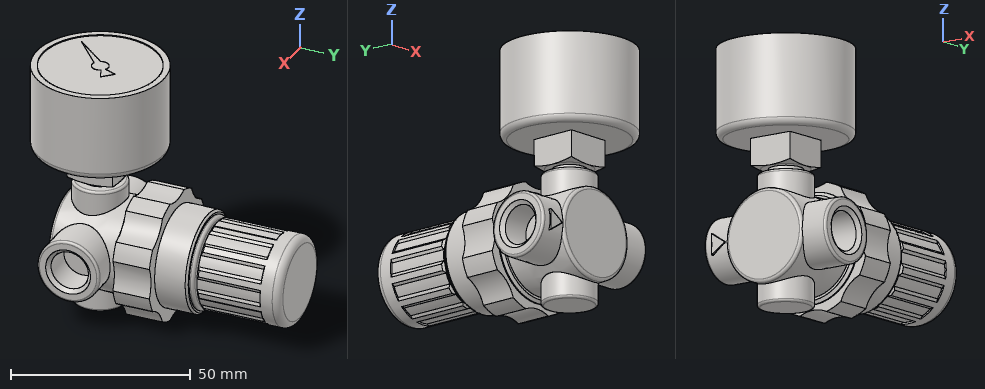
import cadquery as cq
import math


FRONT_Y = -9.8
BODY_BACK_Y = 11.35
NUT_FRONT_Y = 12.3
NUT_BACK_Y = 23.5
BONNET_BACK_Y = 33.5
COLLAR_BACK_Y = 34.85
KNOB_FRONT_Y = 35.4
KNOB_RIM_Y = 55.0
KNOB_END_Y = 61.0

FRONT_DIAMETER = 27.0
BODY_BACK_DIAMETER = 28.5
FRONT_FILLET = 1.0
FLANGE_DIAMETER = 32.0
BONNET_DIAMETER = 30.0
FLANGE_CHAMFER_LENGTH = 0.65
BONNET_CHAMFER = 0.65
COLLAR_DIAMETER = 27.5
COLLAR_FILLET = 1.0
NECK_DIAMETER = 21.0
KNOB_DIAMETER = 27.0
KNOB_FILLET = 2.25
KNOB_CHAMFER = 0.65

RECESS_COUNT = 12
RECESS_FLOOR_DIAMETER = 25.9
RECESS_FLOOR_WIDTH = 3.2
RECESS_MOUTH_WIDTH = 5.15
RECESS_OVERRUN = 0.8

NUT_DIAMETER = 38.15
NUT_ROOT_DIAMETER = 34.9
NUT_LOBE_COUNT = 8
NUT_SCALLOP_WIDTH = 9.3

PORT_DIAMETER = 19.0
PORT_SPAN = 43.0
PORT_FILLET = 0.7
PORT_BORE_DIAMETER = 11.4
PORT_BORE_DEPTH = 9.7
PORT_MOUTH_DIAMETER = 13.7

BOSS_DIAMETER = 16.0
BOSS_HALF_SPAN = 19.0
BOSS_FILLET = 0.7

ARROW_TAIL_X = -18.6
ARROW_TIP_X = -13.85
ARROW_WIDTH = 6.1
ARROW_DEPTH = 1.6

TOTAL_HEIGHT = 74.0
GAUGE_TOP_Z = TOTAL_HEIGHT - BOSS_HALF_SPAN
GAUGE_DIAMETER = 39.0
GAUGE_HEIGHT = 25.9
GAUGE_BOTTOM_Z = GAUGE_TOP_Z - GAUGE_HEIGHT
GAUGE_FILLET = 1.9
DIAL_DIAMETER = 35.0
DIAL_DEPTH = 0.3
STEM_DIAMETER = 9.75
SQUARE_WIDTH = 14.0
SQUARE_BOTTOM_Z = 20.5
SQUARE_CORNER_CUT = 0.8

POINTER_HEIGHT = 0.1
HUB_DIAMETER = 5.0
POINTER_REACH = 15.05
POINTER_ROOT_WIDTH = 1.9
TAIL_REACH = 6.0
TAIL_ROOT_WIDTH = 1.4
TAIL_END_WIDTH = 4.35
POINTER_ANGLE = 225.0


def cylinder_along_y(diameter, front_y, back_y):
    start = cq.Workplane("XZ", origin=(0, front_y, 0))
    return start.circle(diameter / 2).extrude(front_y - back_y)


def make_front_body():
    """Tapered body with a rounded front edge and a chamfered flange against the nut."""
    flange_edge_y = BODY_BACK_Y + FLANGE_CHAMFER_LENGTH
    body = (
        cq.Workplane("XY")
        .moveTo(0, FRONT_Y)
        .lineTo(FRONT_DIAMETER / 2, FRONT_Y)
        .lineTo(BODY_BACK_DIAMETER / 2, BODY_BACK_Y)
        .lineTo(BONNET_DIAMETER / 2, BODY_BACK_Y)
        .lineTo(FLANGE_DIAMETER / 2, flange_edge_y)
        .lineTo(FLANGE_DIAMETER / 2, NUT_FRONT_Y)
        .lineTo(0, NUT_FRONT_Y)
        .close()
        .revolve(360, (0, 0, 0), (0, 1, 0))
    )
    return body.faces("<Y").edges().fillet(FRONT_FILLET)


def make_nut():
    """Prism of convex lobes on one circle, joined by shallow concave scallops."""
    radius = NUT_DIAMETER / 2
    pitch = 2 * math.pi / NUT_LOBE_COUNT
    half_scallop = math.asin(NUT_SCALLOP_WIDTH / NUT_DIAMETER)

    def point_at(distance, angle):
        return (distance * math.cos(angle), distance * math.sin(angle))

    outline = cq.Workplane("XZ", origin=(0, NUT_FRONT_Y, 0)).moveTo(*point_at(radius, -half_scallop))
    for index in range(NUT_LOBE_COUNT):
        scallop_angle = index * pitch
        lobe_angle = scallop_angle + pitch / 2
        outline = outline.threePointArc(
            point_at(NUT_ROOT_DIAMETER / 2, scallop_angle),
            point_at(radius, scallop_angle + half_scallop),
        ).threePointArc(
            point_at(radius, lobe_angle),
            point_at(radius, scallop_angle + pitch - half_scallop),
        )
    return outline.close().extrude(NUT_FRONT_Y - NUT_BACK_Y)


def make_bonnet():
    """Bonnet, the collar behind it and the neck that carries the knob."""
    bonnet = cylinder_along_y(BONNET_DIAMETER, NUT_BACK_Y, BONNET_BACK_Y)
    bonnet = bonnet.faces(">Y").chamfer(BONNET_CHAMFER)
    collar = cylinder_along_y(COLLAR_DIAMETER, BONNET_BACK_Y, COLLAR_BACK_Y)
    collar = collar.faces(">Y").edges().fillet(COLLAR_FILLET)
    neck = cylinder_along_y(NECK_DIAMETER, COLLAR_BACK_Y, KNOB_FRONT_Y)
    return bonnet.union(collar).union(neck)


def make_recess_cutter():
    """Grip recess at +X: sloping side walls and a round floor, open at the front of the knob."""
    floor_radius = RECESS_FLOOR_DIAMETER / 2
    knob_radius = KNOB_DIAMETER / 2
    floor_half = RECESS_FLOOR_WIDTH / 2
    mouth_half = RECESS_MOUTH_WIDTH / 2
    floor_edge_x = math.sqrt(floor_radius**2 - floor_half**2)
    mouth_edge_x = math.sqrt(knob_radius**2 - mouth_half**2)
    wall_slope = (mouth_half - floor_half) / (mouth_edge_x - floor_edge_x)
    outer_x = knob_radius + RECESS_OVERRUN
    outer_half = floor_half + wall_slope * (outer_x - floor_edge_x)
    front_y = KNOB_FRONT_Y - RECESS_OVERRUN
    return (
        cq.Workplane("XZ", origin=(0, front_y, 0))
        .moveTo(floor_edge_x, -floor_half)
        .threePointArc((floor_radius, 0), (floor_edge_x, floor_half))
        .lineTo(outer_x, outer_half)
        .lineTo(outer_x, -outer_half)
        .close()
        .extrude(front_y - KNOB_RIM_Y)
    )


def make_knob():
    knob = cylinder_along_y(KNOB_DIAMETER, KNOB_FRONT_Y, KNOB_END_Y)
    knob = knob.faces(">Y").edges().fillet(KNOB_FILLET)
    knob = knob.faces("<Y").chamfer(KNOB_CHAMFER)
    cutter = make_recess_cutter()
    for index in range(RECESS_COUNT):
        turn = index * 360 / RECESS_COUNT
        knob = knob.cut(cutter.rotate((0, 0, 0), (0, 1, 0), turn))
    return knob


def make_port_barrel():
    barrel = cq.Workplane("YZ").circle(PORT_DIAMETER / 2).extrude(PORT_SPAN / 2, both=True)
    return barrel.faces("<X or >X").edges().fillet(PORT_FILLET)


def make_port_bore(side):
    """Blind bore with a 45 degree mouth; side is -1 for the -X port and +1 for the +X port."""
    bore_radius = PORT_BORE_DIAMETER / 2
    mouth_radius = PORT_MOUTH_DIAMETER / 2
    mouth_x = side * PORT_SPAN / 2
    throat_x = mouth_x - side * (mouth_radius - bore_radius)
    floor_x = mouth_x - side * PORT_BORE_DEPTH
    return (
        cq.Workplane("XY")
        .moveTo(mouth_x, 0)
        .lineTo(mouth_x, mouth_radius)
        .lineTo(throat_x, bore_radius)
        .lineTo(floor_x, bore_radius)
        .lineTo(floor_x, 0)
        .close()
        .revolve(360, (0, 0, 0), (1, 0, 0))
    )


def make_bosses():
    """One round bar along Z that forms both the upper and the lower boss."""
    bosses = cq.Workplane("XY").circle(BOSS_DIAMETER / 2).extrude(BOSS_HALF_SPAN, both=True)
    return bosses.faces("<Z or >Z").edges().fillet(BOSS_FILLET)


def make_flow_arrow():
    """Triangular pad sunk into the inlet port, its outer face flush with the front face of the body."""
    half_width = ARROW_WIDTH / 2
    return (
        cq.Workplane("XZ", origin=(0, FRONT_Y, 0))
        .polyline([(ARROW_TAIL_X, half_width), (ARROW_TIP_X, 0), (ARROW_TAIL_X, -half_width)])
        .close()
        .extrude(-ARROW_DEPTH)
    )


def make_regulator():
    regulator = (
        make_front_body()
        .union(make_nut())
        .union(make_bonnet())
        .union(make_knob())
        .union(make_port_barrel())
        .union(make_bosses())
        .union(make_flow_arrow())
    )
    for side in (-1, 1):
        regulator = regulator.cut(make_port_bore(side))
    return regulator


def make_gauge_case():
    """Round case with a rounded lower edge and a shallow dial recess in its top."""
    base = cq.Workplane("XY", origin=(0, 0, GAUGE_BOTTOM_Z))
    case = base.circle(GAUGE_DIAMETER / 2).extrude(GAUGE_HEIGHT)
    case = case.faces("<Z").edges().fillet(GAUGE_FILLET)
    return case.faces(">Z").workplane().circle(DIAL_DIAMETER / 2).cutBlind(-DIAL_DEPTH)


def make_square():
    """Wrench square whose lower corners are cut by a shallow cone."""
    half_width = SQUARE_WIDTH / 2
    corner_radius = half_width * math.sqrt(2)
    cone_top_z = SQUARE_BOTTOM_Z + SQUARE_CORNER_CUT
    square = (
        cq.Workplane("XY", origin=(0, 0, SQUARE_BOTTOM_Z))
        .rect(SQUARE_WIDTH, SQUARE_WIDTH)
        .extrude(GAUGE_BOTTOM_Z - SQUARE_BOTTOM_Z)
    )
    envelope = (
        cq.Workplane("XZ")
        .moveTo(0, SQUARE_BOTTOM_Z)
        .lineTo(half_width, SQUARE_BOTTOM_Z)
        .lineTo(corner_radius, cone_top_z)
        .lineTo(corner_radius, GAUGE_BOTTOM_Z)
        .lineTo(0, GAUGE_BOTTOM_Z)
        .close()
        .revolve(360, (0, 0, 0), (0, 1, 0))
    )
    return square.intersect(envelope)


def make_stem():
    """Round stem that stands on the top face of the upper boss."""
    stem = cq.Workplane("XY", origin=(0, 0, BOSS_HALF_SPAN)).circle(STEM_DIAMETER / 2)
    return stem.extrude(SQUARE_BOTTOM_Z - BOSS_HALF_SPAN)


def make_pointer():
    """Thin raised pointer: hub, tapering needle and flared tail."""
    dial = cq.Workplane("XY", origin=(0, 0, GAUGE_TOP_Z - DIAL_DEPTH))
    hub = dial.circle(HUB_DIAMETER / 2).extrude(POINTER_HEIGHT)
    needle_root_x = math.sqrt(HUB_DIAMETER**2 - POINTER_ROOT_WIDTH**2) / 2
    tail_root_x = math.sqrt(HUB_DIAMETER**2 - TAIL_ROOT_WIDTH**2) / 2
    blade = (
        dial.moveTo(POINTER_REACH, 0)
        .lineTo(needle_root_x, POINTER_ROOT_WIDTH / 2)
        .lineTo(-tail_root_x, TAIL_ROOT_WIDTH / 2)
        .lineTo(-TAIL_REACH, TAIL_END_WIDTH / 2)
        .lineTo(-TAIL_REACH, -TAIL_END_WIDTH / 2)
        .lineTo(-tail_root_x, -TAIL_ROOT_WIDTH / 2)
        .lineTo(needle_root_x, -POINTER_ROOT_WIDTH / 2)
        .close()
        .extrude(POINTER_HEIGHT)
    )
    return hub.union(blade).rotate((0, 0, 0), (0, 0, 1), POINTER_ANGLE)


def make_gauge():
    return make_gauge_case().union(make_square()).union(make_stem()).union(make_pointer())


regulator = make_regulator()
gauge = make_gauge()
result = cq.Compound.makeCompound([regulator.val(), gauge.val()])